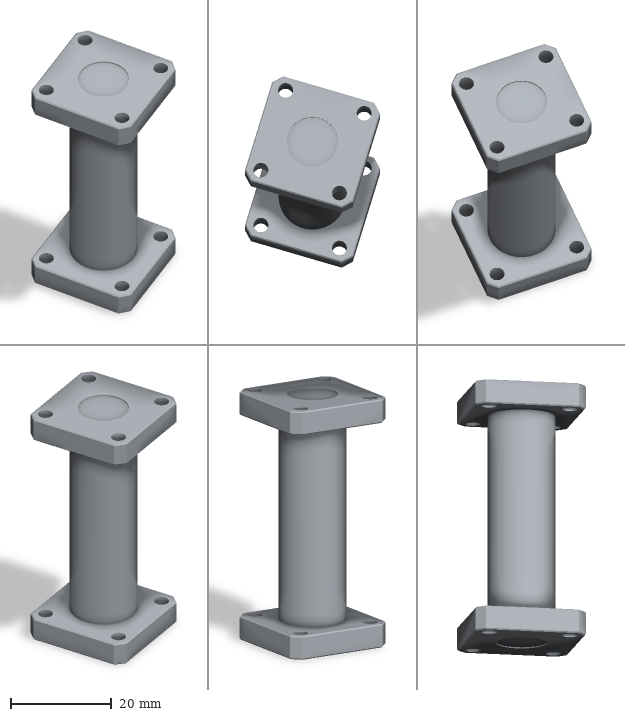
import cadquery as cq

flange_side = 22.35
total_length = 50.8

flange_thickness = 4.83
corner_chamfer = 1.78
edge_chamfer = 0.254

tube_diameter = 13.46

hole_diameter = 2.95
hole_spacing_x = 17.02
hole_spacing_y = 16.26

recess_diameter = 10.06
recess_depth = 0.254


def make_flange(base_z):
    """Square flange with cut corners, broken edges and four through holes."""
    plate = (
        cq.Workplane("XY")
        .workplane(offset=base_z)
        .rect(flange_side, flange_side)
        .extrude(flange_thickness)
        .edges("|Z")
        .chamfer(corner_chamfer)
        .faces("<Z or >Z")
        .edges()
        .chamfer(edge_chamfer)
    )
    holes = (
        cq.Workplane("XY")
        .workplane(offset=base_z)
        .rect(hole_spacing_x, hole_spacing_y, forConstruction=True)
        .vertices()
        .circle(hole_diameter / 2)
        .extrude(flange_thickness)
    )
    return plate.cut(holes)


def make_tube():
    """Round body that runs between the inner faces of the flanges."""
    return (
        cq.Workplane("XY")
        .workplane(offset=flange_thickness - total_length / 2)
        .circle(tube_diameter / 2)
        .extrude(total_length - 2 * flange_thickness)
    )


def make_recess(base_z):
    """Disc to remove from an end face."""
    return (
        cq.Workplane("XY")
        .workplane(offset=base_z)
        .circle(recess_diameter / 2)
        .extrude(recess_depth)
    )


bottom_z = -total_length / 2
top_z = total_length / 2

result = make_tube()
for flange_base_z in (bottom_z, top_z - flange_thickness):
    result = result.union(make_flange(flange_base_z))
for recess_base_z in (bottom_z, top_z - recess_depth):
    result = result.cut(make_recess(recess_base_z))